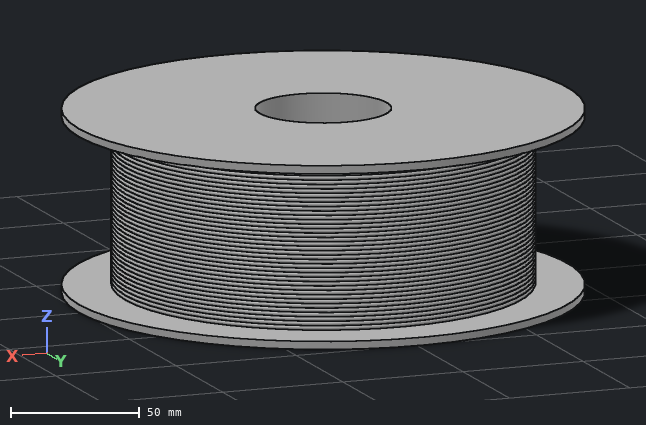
import cadquery as cq

flange_diameter = 203.2
bore_diameter = 52.8
spool_height = 73.2
flange_thickness = 3.3

winding_diameter = 165.0
turn_count = 38
winding_height = spool_height - 2 * flange_thickness
turn_pitch = winding_height / turn_count

crest_radius = winding_diameter / 2
groove_radius = crest_radius - turn_pitch / 2
flange_radius = flange_diameter / 2
bore_radius = bore_diameter / 2
spool_top = spool_height / 2
winding_bottom = -winding_height / 2


def add_turns(profile):
    """Continue the half profile upward with one half-round arc per turn."""
    for turn in range(turn_count):
        turn_bottom = winding_bottom + turn * turn_pitch
        crest = (crest_radius, turn_bottom + turn_pitch / 2)
        groove = (groove_radius, turn_bottom + turn_pitch)
        profile = profile.threePointArc(crest, groove)
    return profile


half_section = (
    cq.Workplane("XZ")
    .moveTo(bore_radius, -spool_top)
    .lineTo(flange_radius, -spool_top)
    .lineTo(flange_radius, winding_bottom)
    .lineTo(groove_radius, winding_bottom)
)
half_section = (
    add_turns(half_section)
    .lineTo(flange_radius, -winding_bottom)
    .lineTo(flange_radius, spool_top)
    .lineTo(bore_radius, spool_top)
    .close()
)

result = half_section.revolve(360, (0, 0, 0), (0, 1, 0))